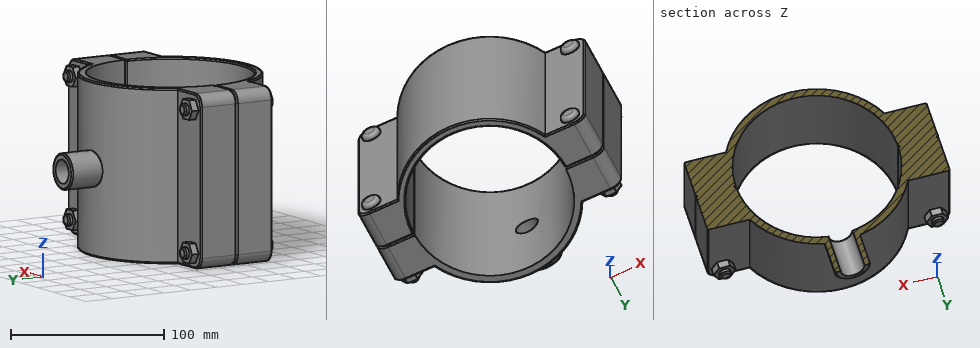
import cadquery as cq
import math

width = 165.0
height = 116.0
bore_radius = 55.0
wall_thickness = 5.5
lug_depth = 27.5
corner_radius = 8.0
edge_chamfer = 1.0
outer_radius = bore_radius + wall_thickness

total_depth = 143.28
stub_diameter = 24.22
stub_bore_diameter = 16.0
stub_chamfer = 1.0
stub_end = total_depth - outer_radius

screw_x = 72.25
screw_z = 47.5
screw_diameter = 8.0
screw_overhang = 8.0
screw_chamfer = 1.0
head_diameter = 13.0
head_height = 3.8
head_rounding = 3.0
nut_flats = 13.0
nut_height = 5.0


def y_cylinder(diameter, start, end):
    """Cylinder around the Y axis from start to end."""
    plane = cq.Workplane("XZ", origin=(0, start, 0))
    return plane.circle(diameter / 2).extrude(start - end)


def z_cylinder(radius):
    """Cylinder around the Z axis over the full height of the clamp."""
    return cq.Workplane("XY", origin=(0, 0, -height / 2)).circle(radius).extrude(height)


def make_half(side, chamfer_bore_ends):
    """Half of the clamp on the +Y (side = 1) or -Y (side = -1) side of the split."""
    lugs = cq.Workplane("XY").box(width, lug_depth, height)
    lugs = lugs.edges("|Y").fillet(corner_radius)
    lugs = lugs.faces("<Y or >Y").chamfer(edge_chamfer)
    lugs = lugs.translate((0, side * lug_depth / 2, 0))

    shell_region = cq.Workplane("XY").box(width, outer_radius, height)
    shell_region = shell_region.translate((0, side * (outer_radius + lug_depth) / 2, 0))
    shell = z_cylinder(outer_radius).faces("<Z or >Z").chamfer(edge_chamfer)
    half = lugs.union(shell.intersect(shell_region)).cut(z_cylinder(bore_radius))

    bore_face = half.faces(cq.selectors.NearestToPointSelector((0, 0, 0)))
    bore_edges = bore_face.edges() if chamfer_bore_ends else bore_face.edges("|Z")
    return bore_edges.chamfer(edge_chamfer)


def make_stub():
    """Solid pipe stub that starts inside the shell wall, clear of the bore."""
    stub = y_cylinder(stub_diameter, bore_radius + wall_thickness / 2, stub_end)
    return stub.faces(">Y").chamfer(stub_chamfer)


def make_bolt():
    """Screw and nut around the Y axis."""
    screw = y_cylinder(screw_diameter, -lug_depth, lug_depth + screw_overhang)
    screw = screw.faces(">Y").chamfer(screw_chamfer)
    head = y_cylinder(head_diameter, -lug_depth - head_height, -lug_depth)
    head = head.faces("<Y").edges().fillet(head_rounding)
    nut_corners = nut_flats / math.cos(math.pi / 6)
    nut = cq.Workplane("XZ", origin=(0, lug_depth, 0)).polygon(6, nut_corners).extrude(-nut_height)
    return screw.union(head).union(nut)


clamp = make_half(1, False).union(make_half(-1, True))
clamp = clamp.union(make_stub())
clamp = clamp.cut(y_cylinder(stub_bore_diameter, 0, stub_end))

bolt = make_bolt()
for x in (-screw_x, screw_x):
    for z in (-screw_z, screw_z):
        clamp = clamp.union(bolt.translate((x, 0, z)))

result = clamp